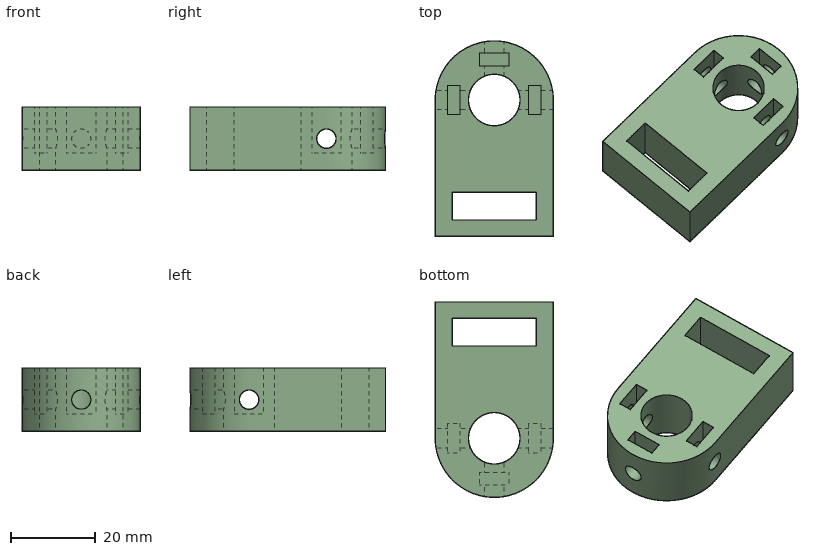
import cadquery as cq

width = 27.9
length = 46.15
height = 15.0
end_radius = width / 2
front_y = end_radius - length

bore_diameter = 12.1
screw_diameter = 4.5
screw_z = height / 2

nut_width = 6.88
nut_thickness = 3.0
nut_offset = 9.55
nut_depth = screw_z + nut_width / 2

slot_length = 19.75
slot_width = 6.45
slot_wall = 3.9
slot_y = front_y + slot_wall + slot_width / 2

screw_angles = (0, 90, 180)


def make_body():
    return (
        cq.Workplane("XY")
        .moveTo(-end_radius, 0)
        .lineTo(-end_radius, front_y)
        .lineTo(end_radius, front_y)
        .lineTo(end_radius, 0)
        .threePointArc((0, end_radius), (-end_radius, 0))
        .close()
        .extrude(height)
    )


def make_screw_cut(angle):
    """Screw hole from the bore axis outwards, with its nut pocket."""
    hole = (
        cq.Workplane("YZ")
        .center(0, screw_z)
        .circle(screw_diameter / 2)
        .extrude(width)
    )
    pocket = (
        cq.Workplane("XY", origin=(nut_offset, 0, height))
        .rect(nut_thickness, nut_width)
        .extrude(-nut_depth)
    )
    return hole.union(pocket).rotate((0, 0, 0), (0, 0, 1), angle)


bore = cq.Workplane("XY").circle(bore_diameter / 2).extrude(height)
slot = cq.Workplane("XY").center(0, slot_y).rect(slot_length, slot_width).extrude(height)

result = make_body().cut(bore).cut(slot)
for screw_angle in screw_angles:
    result = result.cut(make_screw_cut(screw_angle))